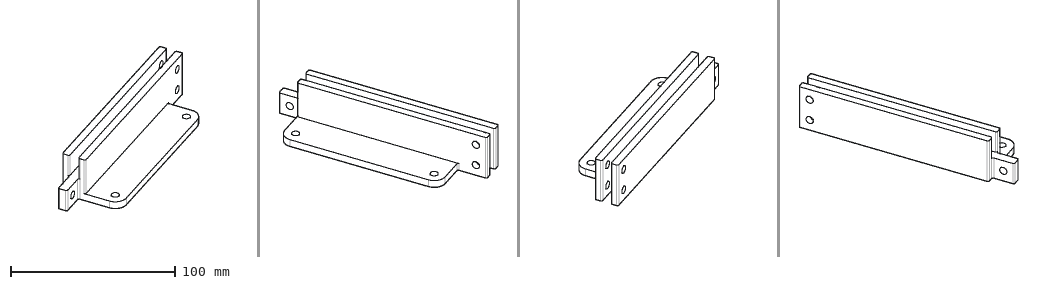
import cadquery as cq

total_length = 145.0
total_width = 40.0
total_height = 30.0
plate_thickness = 5.0
gap_width = 6.1
tongue_height = total_height / 2
tongue_reach = tongue_height
flange_thickness = 5.1
flange_setback = 20.0
flange_corner_radius = 7.5
edge_radius = 1.0
hole_diameter = 5.0

plate_front = tongue_reach
plate_length = total_length - plate_front
tongue_length = total_length - tongue_reach
tongue_left = plate_thickness
right_plate_left = tongue_left + gap_width
right_plate_right = right_plate_left + plate_thickness
flange_back = total_length - flange_setback
flange_length = flange_back - plate_front
hinge_hole_inset = tongue_reach / 2
selection_margin = 1.5


def block(x, y, width, length, bottom, top):
    """Upright box with its front left corner at (x, y), between two heights."""
    return (
        cq.Workplane("XY")
        .box(width, length, top - bottom, centered=False)
        .translate((x, y, bottom))
    )


def plates(bottom, top):
    """Slice of the two upright plates between two heights."""
    left = block(0, plate_front, plate_thickness, plate_length, bottom, top)
    right = block(right_plate_left, plate_front, plate_thickness, plate_length, bottom, top)
    return left.union(right)


def plates_and_tongue(bottom, top):
    """Slice of the plates joined by the tongue, which runs out past their front ends."""
    tongue = block(tongue_left, 0, gap_width, tongue_length, bottom, top)
    return plates(bottom, top).union(tongue)


def flange_layer():
    """Bottom slice: plates, tongue and the mounting flange with large rounded corners."""
    flange_width = total_width - right_plate_left
    flange = block(
        right_plate_left, plate_front, flange_width, flange_length, 0, flange_thickness
    )
    layer = plates_and_tongue(0, flange_thickness).union(flange).clean()
    layer = layer.edges("|Z and >X").fillet(flange_corner_radius)
    small_corners = cq.selectors.BoxSelector(
        (-selection_margin, -selection_margin, 0),
        (right_plate_right + selection_margin, total_length + selection_margin, flange_thickness),
    )
    return layer.edges("|Z").edges(small_corners).fillet(edge_radius)


tongue_layer = plates_and_tongue(flange_thickness, tongue_height).edges("|Z").fillet(edge_radius)
plate_layer = plates(tongue_height, total_height).edges("|Z").fillet(edge_radius)
body = flange_layer().union(tongue_layer).union(plate_layer)

cross_holes = [
    (hinge_hole_inset, hinge_hole_inset),
    (total_length - hinge_hole_inset, hinge_hole_inset),
    (total_length - hinge_hole_inset, total_height - hinge_hole_inset),
]
cross_cutter = (
    cq.Workplane("YZ").pushPoints(cross_holes).circle(hole_diameter / 2).extrude(right_plate_right)
)

flange_hole_x = total_width - flange_corner_radius
flange_holes = [
    (flange_hole_x, plate_front + flange_corner_radius),
    (flange_hole_x, flange_back - flange_corner_radius),
]
flange_cutter = (
    cq.Workplane("XY").pushPoints(flange_holes).circle(hole_diameter / 2).extrude(flange_thickness)
)

result = body.cut(cross_cutter).cut(flange_cutter)